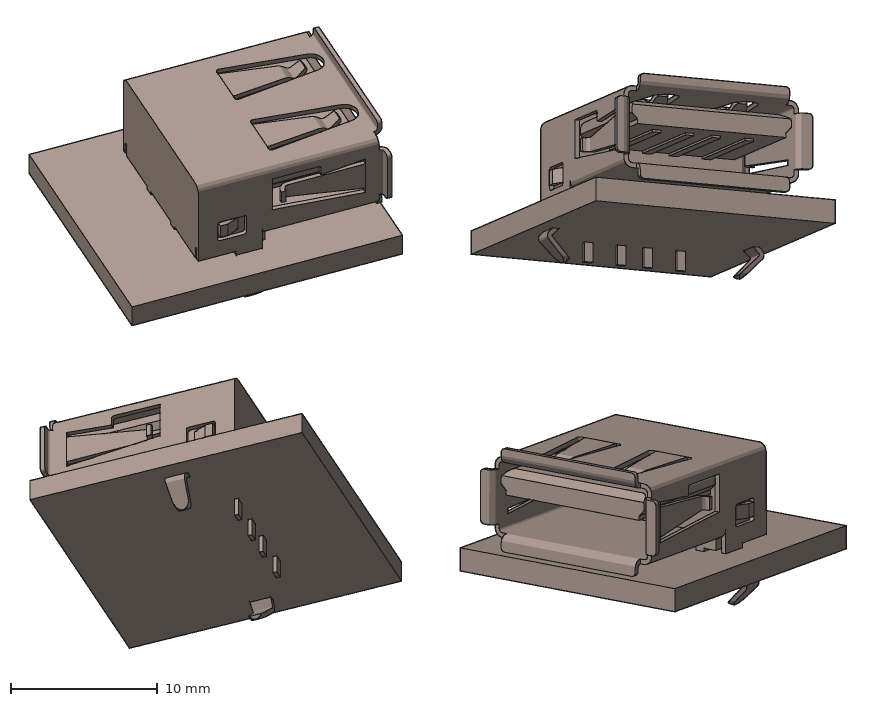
import cadquery as cq
import math

BOARD_WIDTH = 18.0
BOARD_DEPTH = 20.0
BOARD_THICKNESS = 1.65

SHEET = 0.35
SHELL_HALF_WIDTH = 6.55
SHELL_TOP = 6.75
MOUTH_FLOOR = 1.05
SHELL_RADIUS = 0.65
SHELL_FRONT = 9.32
SHELL_REAR = -4.05
FLOOR_REAR = 0.68
SIDE_WALL_BOTTOM = 0.32
REAR_WALL_BOTTOM = 0.25
MOUTH_CENTER = (SHELL_TOP + MOUTH_FLOOR) / 2
MOUTH_HALF_HEIGHT = (SHELL_TOP - MOUTH_FLOOR) / 2
INNER_HALF_WIDTH = SHELL_HALF_WIDTH - SHEET
INNER_TOP = SHELL_TOP - SHEET

LIP_HEIGHT = 0.8
LIP_INNER_RADIUS = 0.25
LIP_BEND = LIP_INNER_RADIUS + SHEET / 2
LIP_CORNER = 0.3
LIP_ROOT = 0.08
TOP_LIP_WIDTH = 11.25
SIDE_LIP_WIDTH = 3.88

SLIT_WIDTH = 0.18
SLIT_TOP = 1.12
FOOT_WIDTH = 0.68

TOP_SPRING_X = 2.98
TOP_WINDOW_REAR = 2.0
TOP_WINDOW_FRONT = 9.2
TOP_WINDOW_REAR_HALF = 1.8
TOP_WINDOW_FRONT_HALF = 0.92
TOP_WINDOW_SHOULDER = 8.5
TOP_SPRING_ROOT_HALF = 1.32
TOP_SPRING_TIP_HALF = 0.45
TOP_SPRING_TIP = 7.92
TOP_SPRING_TIP_CORNER = 0.32
TOP_SPRING_ROOT = TOP_WINDOW_REAR - SHEET

TOP_SPRING_CREST = (6.28, -0.15)
TOP_SPRING_VALLEY = (6.88, -0.6)
TOP_SPRING_END = (7.8, 0.08)
SPRING_ROOT_RADIUS = 0.4
TOP_SPRING_CREST_RADIUS = 0.95
TOP_SPRING_VALLEY_RADIUS = 0.52

SIDE_WINDOW_FRONT = 8.3
SIDE_WINDOW_REAR = 1.42
SIDE_WINDOW_FRONT_HALF = 1.45
SIDE_WINDOW_REAR_HALF = 0.8
SIDE_SPRING_ROOT_HALF = 1.05
SIDE_SPRING_TIP_HALF = 0.45
SIDE_SPRING_TIP = 2.12
SIDE_SPRING_ROOT = SIDE_WINDOW_FRONT + SHEET
SIDE_SPRING_DIP = 0.65
SIDE_SPRING_END_RISE = 0.08
SIDE_SPRING_TIP_RADIUS = 0.5
SIDE_NOTCH_FRONT = 5.0
SIDE_NOTCH_TOP = 5.8
WINDOW_CORNER = 0.2

LATCH_FRONT = -0.5
LATCH_REAR = -2.65
LATCH_BOTTOM = 1.62
LATCH_TOP = 3.22
WEDGE_FRONT = -0.98
WEDGE_CREST = -1.92
WEDGE_REAR = -2.48
WEDGE_BOTTOM = 1.95
WEDGE_TOP = 2.98
WEDGE_HALF_WIDTH = 6.65

HOUSING_FRONT = 1.1
HOUSING_BOTTOM = 0.25
OUTER_RIB_X = 4.7
OUTER_RIB_REAR = -1.8
INNER_RIB_X = 2.05
TONGUE_FRONT = 9.4
TONGUE_BEVEL_START = 8.6
TONGUE_BEVEL_DROP = 0.4
TONGUE_TOP = 5.85
TONGUE_BOTTOM = 4.15
TONGUE_HALF_WIDTH = 6.0
TONGUE_TOP_RADIUS = 0.68
TONGUE_SIDE_BOTTOM = 4.88
TONGUE_KEEL_TOP = 4.45
TONGUE_KEEL_HALF = 5.58

CONTACT_XS = (-3.48, -1.0, 1.0, 3.48)
CONTACT_WIDTH = 0.65
CONTACT_DROP = 0.15
CONTACT_FRONT = 8.0
PIN_Y = -3.05
PIN_THICKNESS = 0.28
PIN_BOTTOM = -3.0

LEG_Y = -0.3
LEG_ROOT_TOP = SIDE_WALL_BOTTOM + SHEET
LEG_ROOT_HALF = 0.98
LEG_END_HALF = 0.55
LEG_SHOULDER = -3.4
LEG_BOTTOM = -3.8
LEG_OUTER_BEND = (8.05, -2.15)
LEG_TIP_X = 6.5
LEG_ROOT_RADIUS = 1.78
LEG_BEND_RADIUS = 0.22

BLANK_SIZE = 20.0


def box(x0, x1, y0, y1, z0, z1):
    """Box given by its limits along each axis."""
    return cq.Workplane("XY").box(x1 - x0, y1 - y0, z1 - z0, centered=False).translate((x0, y0, z0))


def both_sides(body):
    """A body and its mirror image across the YZ plane."""
    return body.union(body.mirror("YZ"))


def bent_sheet(plane, points, radii, width):
    """Sheet of constant thickness whose middle line follows the points, with a radius at each bend."""
    vectors = [cq.Vector(*p) for p in points]
    path = cq.Workplane(plane).moveTo(*points[0])
    for before, corner, after, radius in zip(vectors, vectors[1:], vectors[2:], radii):
        back = (before - corner).normalized()
        ahead = (after - corner).normalized()
        half_angle = back.getAngle(ahead) / 2
        setback = radius / math.tan(half_angle)
        start = corner + back * setback
        end = corner + ahead * setback
        to_center = (back + ahead).normalized()
        middle = corner + to_center * (radius / math.sin(half_angle) - radius)
        path = path.lineTo(start.x, start.y)
        path = path.threePointArc((middle.x, middle.y), (end.x, end.y))
    path = path.lineTo(*points[-1])
    frame = path.plane
    first = frame.toWorldCoords(points[0])
    second = frame.toWorldCoords(points[1])
    section = cq.Plane(origin=first, xDir=frame.zDir, normal=second - first)
    return cq.Workplane(section).rect(width, SHEET).sweep(path)


def make_lip(wall_distance, width, turn):
    """Lip flaring out from one wall of the mouth; turn is its angle about the mouth's axis."""
    middle = wall_distance - SHEET / 2
    lip_y = SHELL_FRONT + LIP_BEND
    end = wall_distance + LIP_HEIGHT
    points = [(SHELL_FRONT - LIP_ROOT, middle), (lip_y, middle), (lip_y, end)]
    lip = bent_sheet("YZ", points, [LIP_BEND], width)
    lip = lip.faces(">Z").edges("|Y").fillet(LIP_CORNER)
    return lip.rotate((0, 0, 0), (0, 1, 0), turn).translate((0, 0, MOUTH_CENTER))


def make_shell_walls():
    """Mouth tube in front; behind it a hood with straight side walls and a closed rear."""
    height = 2 * MOUTH_HALF_HEIGHT
    length = SHELL_FRONT - SHELL_REAR
    front = cq.Workplane("XZ", origin=(0, SHELL_FRONT, MOUTH_CENTER))
    outer = front.rect(2 * SHELL_HALF_WIDTH, height).extrude(length).edges("|Y").fillet(SHELL_RADIUS)
    skirt = box(-SHELL_HALF_WIDTH, SHELL_HALF_WIDTH, SHELL_REAR, FLOOR_REAR, REAR_WALL_BOTTOM, MOUTH_CENTER)
    inner = front.rect(2 * INNER_HALF_WIDTH, height - 2 * SHEET).extrude(length - SHEET)
    inner = inner.edges("|Y").fillet(SHELL_RADIUS - SHEET)
    rear_room = box(
        -INNER_HALF_WIDTH, INNER_HALF_WIDTH, SHELL_REAR + SHEET, FLOOR_REAR, REAR_WALL_BOTTOM, MOUTH_CENTER
    )
    walls = outer.union(skirt).cut(inner).cut(rear_room)
    below_side_wall = box(
        INNER_HALF_WIDTH, SHELL_HALF_WIDTH, SHELL_REAR, FLOOR_REAR, REAR_WALL_BOTTOM, SIDE_WALL_BOTTOM
    )
    slit = box(
        INNER_HALF_WIDTH - SLIT_WIDTH, INNER_HALF_WIDTH,
        SHELL_REAR, SHELL_REAR + SHEET, REAR_WALL_BOTTOM, SLIT_TOP,
    )
    return walls.cut(both_sides(below_side_wall)).cut(both_sides(slit))


def make_top_window():
    """Tapered opening in the top wall, round at its front end."""
    outline = (
        cq.Workplane("XY", origin=(TOP_SPRING_X, 0, INNER_TOP))
        .moveTo(-TOP_WINDOW_REAR_HALF, TOP_WINDOW_REAR)
        .lineTo(TOP_WINDOW_REAR_HALF, TOP_WINDOW_REAR)
        .lineTo(TOP_WINDOW_FRONT_HALF, TOP_WINDOW_SHOULDER)
        .threePointArc((0, TOP_WINDOW_FRONT), (-TOP_WINDOW_FRONT_HALF, TOP_WINDOW_SHOULDER))
        .close()
    )
    return outline.extrude(SHEET).edges("|Z and <Y").fillet(WINDOW_CORNER)


def make_top_spring():
    """Tapered finger that dips into the mouth and turns up again at its tip."""
    level = SHELL_TOP - SHEET / 2
    points = [(TOP_SPRING_ROOT, level), (TOP_WINDOW_REAR, level)]
    for y, rise in (TOP_SPRING_CREST, TOP_SPRING_VALLEY, TOP_SPRING_END):
        points.append((y, level + rise))
    radii = [SPRING_ROOT_RADIUS, TOP_SPRING_CREST_RADIUS, TOP_SPRING_VALLEY_RADIUS]
    finger = bent_sheet("YZ", points, radii, BLANK_SIZE)
    planform = (
        cq.Workplane("XY")
        .moveTo(-TOP_SPRING_ROOT_HALF, TOP_SPRING_ROOT)
        .lineTo(TOP_SPRING_ROOT_HALF, TOP_SPRING_ROOT)
        .lineTo(TOP_SPRING_ROOT_HALF, TOP_WINDOW_REAR)
        .lineTo(TOP_SPRING_TIP_HALF, TOP_SPRING_TIP)
        .lineTo(-TOP_SPRING_TIP_HALF, TOP_SPRING_TIP)
        .lineTo(-TOP_SPRING_ROOT_HALF, TOP_WINDOW_REAR)
        .close()
        .extrude(BLANK_SIZE)
        .edges("|Z and >Y")
        .fillet(TOP_SPRING_TIP_CORNER)
    )
    return finger.intersect(planform).translate((TOP_SPRING_X, 0, 0))


def make_side_window():
    """Tapered opening in a side wall, with a notch above its rear half."""
    taper = (
        cq.Workplane("YZ", origin=(INNER_HALF_WIDTH, 0, MOUTH_CENTER))
        .polyline([
            (SIDE_WINDOW_FRONT, -SIDE_WINDOW_FRONT_HALF),
            (SIDE_WINDOW_FRONT, SIDE_WINDOW_FRONT_HALF),
            (SIDE_WINDOW_REAR, SIDE_WINDOW_REAR_HALF),
            (SIDE_WINDOW_REAR, -SIDE_WINDOW_REAR_HALF),
        ])
        .close()
        .extrude(SHEET)
    )
    notch = box(
        INNER_HALF_WIDTH, SHELL_HALF_WIDTH,
        SIDE_WINDOW_REAR, SIDE_NOTCH_FRONT, MOUTH_CENTER, SIDE_NOTCH_TOP,
    )
    notch = notch.edges("|X and >Y and >Z").fillet(WINDOW_CORNER)
    return taper.union(notch)


def make_side_spring():
    """Tapered finger rooted at the front of a side window, bent inward and out again at its tip."""
    level = SHELL_HALF_WIDTH - SHEET / 2
    tip_y = SIDE_SPRING_TIP + SHEET / 2
    points = [
        (level, SIDE_SPRING_ROOT),
        (level, SIDE_WINDOW_FRONT),
        (level - SIDE_SPRING_DIP, tip_y),
        (level + SIDE_SPRING_END_RISE, tip_y),
    ]
    finger = bent_sheet("XY", points, [SPRING_ROOT_RADIUS, SIDE_SPRING_TIP_RADIUS], BLANK_SIZE)
    planform = (
        cq.Workplane("YZ", origin=(0, 0, MOUTH_CENTER))
        .polyline([
            (SIDE_SPRING_ROOT, -SIDE_SPRING_ROOT_HALF),
            (SIDE_SPRING_ROOT, SIDE_SPRING_ROOT_HALF),
            (SIDE_WINDOW_FRONT, SIDE_SPRING_ROOT_HALF),
            (SIDE_SPRING_TIP, SIDE_SPRING_TIP_HALF),
            (SIDE_SPRING_TIP, -SIDE_SPRING_TIP_HALF),
            (SIDE_WINDOW_FRONT, -SIDE_SPRING_ROOT_HALF),
        ])
        .close()
        .extrude(BLANK_SIZE)
    )
    return finger.intersect(planform)


def make_leg():
    """Snap leg below a side wall: out at 45 degrees, back in at 45 degrees, with a rounded end."""
    middle = SHELL_HALF_WIDTH - SHEET / 2
    bend_x, bend_z = LEG_OUTER_BEND
    points = [
        (middle, LEG_ROOT_TOP),
        (middle, bend_z + bend_x - middle),
        LEG_OUTER_BEND,
        (LEG_TIP_X, bend_z - (bend_x - LEG_TIP_X)),
    ]
    strip = bent_sheet("XZ", points, [LEG_ROOT_RADIUS, LEG_BEND_RADIUS], BLANK_SIZE)
    planform = (
        cq.Workplane("YZ", origin=(0, LEG_Y, 0))
        .moveTo(-LEG_ROOT_HALF, LEG_ROOT_TOP)
        .lineTo(-LEG_ROOT_HALF, 0)
        .lineTo(-LEG_END_HALF, LEG_SHOULDER)
        .threePointArc((0, LEG_BOTTOM), (LEG_END_HALF, LEG_SHOULDER))
        .lineTo(LEG_ROOT_HALF, 0)
        .lineTo(LEG_ROOT_HALF, LEG_ROOT_TOP)
        .close()
        .extrude(BLANK_SIZE)
    )
    return strip.intersect(planform)


def make_shell():
    """Folded metal shell with its windows, lips, springs, legs and rear tabs."""
    latch_window = box(
        INNER_HALF_WIDTH, SHELL_HALF_WIDTH, LATCH_REAR, LATCH_FRONT, LATCH_BOTTOM, LATCH_TOP
    )
    latch_window = latch_window.edges("|X").fillet(WINDOW_CORNER)
    tab = box(
        INNER_RIB_X - FOOT_WIDTH / 2, INNER_RIB_X + FOOT_WIDTH / 2,
        SHELL_REAR, SHELL_REAR + SHEET, 0, REAR_WALL_BOTTOM,
    )
    shell = make_shell_walls()
    for opening in (make_top_window(), make_side_window(), latch_window):
        shell = shell.cut(both_sides(opening))
    for turn in (0, 180):
        shell = shell.union(make_lip(MOUTH_HALF_HEIGHT, TOP_LIP_WIDTH, turn))
    for turn in (90, 270):
        shell = shell.union(make_lip(SHELL_HALF_WIDTH, SIDE_LIP_WIDTH, turn))
    for piece in (make_top_spring(), make_side_spring(), make_leg(), tab):
        shell = shell.union(both_sides(piece))
    return shell


def make_tongue():
    """Plate in the mouth: rounded top edges, a narrower keel below and a beveled front."""
    start = HOUSING_FRONT - SHEET
    length = TONGUE_FRONT - start
    tongue = (
        cq.Workplane("XZ", origin=(0, TONGUE_FRONT, 0))
        .polyline([
            (-TONGUE_HALF_WIDTH, TONGUE_TOP),
            (TONGUE_HALF_WIDTH, TONGUE_TOP),
            (TONGUE_HALF_WIDTH, TONGUE_SIDE_BOTTOM),
            (TONGUE_KEEL_HALF, TONGUE_KEEL_TOP),
            (TONGUE_KEEL_HALF, TONGUE_BOTTOM),
            (-TONGUE_KEEL_HALF, TONGUE_BOTTOM),
            (-TONGUE_KEEL_HALF, TONGUE_KEEL_TOP),
            (-TONGUE_HALF_WIDTH, TONGUE_SIDE_BOTTOM),
        ])
        .close()
        .extrude(length)
        .edges("|Y and >Z")
        .fillet(TONGUE_TOP_RADIUS)
    )
    bevel = (
        cq.Workplane("YZ", origin=(-TONGUE_HALF_WIDTH, 0, 0))
        .polyline([
            (TONGUE_BEVEL_START, TONGUE_TOP),
            (TONGUE_FRONT, TONGUE_TOP - TONGUE_BEVEL_DROP),
            (TONGUE_FRONT, TONGUE_TOP),
        ])
        .close()
        .extrude(2 * TONGUE_HALF_WIDTH)
    )
    return tongue.cut(bevel)


def make_wedge():
    """Latch ramp that rises toward the rear through the side wall's latch window."""
    return (
        cq.Workplane("XY", origin=(0, 0, WEDGE_BOTTOM))
        .polyline([
            (INNER_HALF_WIDTH - SHEET, WEDGE_FRONT),
            (INNER_HALF_WIDTH, WEDGE_FRONT),
            (WEDGE_HALF_WIDTH, WEDGE_CREST),
            (WEDGE_HALF_WIDTH, WEDGE_REAR),
            (INNER_HALF_WIDTH - SHEET, WEDGE_REAR),
        ])
        .close()
        .extrude(WEDGE_TOP - WEDGE_BOTTOM)
    )


def make_housing():
    """Block that fills the rear of the shell, with its tongue, standing ribs and latch wedges."""
    rear = SHELL_REAR + SHEET
    lower_half = INNER_HALF_WIDTH - SLIT_WIDTH
    upper = box(-INNER_HALF_WIDTH, INNER_HALF_WIDTH, rear, HOUSING_FRONT, SLIT_TOP, INNER_TOP)
    upper = upper.edges("|Y and >Z").fillet(SHELL_RADIUS - SHEET)
    lower = box(-lower_half, lower_half, rear, HOUSING_FRONT, HOUSING_BOTTOM, MOUTH_CENTER)
    housing = upper.union(lower).union(make_tongue())
    for rib_x, rib_rear in ((INNER_RIB_X, rear), (OUTER_RIB_X, OUTER_RIB_REAR)):
        left = rib_x - FOOT_WIDTH / 2
        rib = box(left, left + FOOT_WIDTH, rib_rear, HOUSING_FRONT, 0, HOUSING_BOTTOM)
        housing = housing.union(both_sides(rib))
    return housing.union(both_sides(make_wedge()))


def make_contact(x):
    """Strip below the tongue and the solder pin that goes down through the board."""
    left = x - CONTACT_WIDTH / 2
    right = x + CONTACT_WIDTH / 2
    strip = box(left, right, FLOOR_REAR, CONTACT_FRONT, TONGUE_BOTTOM - CONTACT_DROP, TONGUE_BOTTOM)
    pin = box(
        left, right, PIN_Y - PIN_THICKNESS / 2, PIN_Y + PIN_THICKNESS / 2, PIN_BOTTOM, HOUSING_BOTTOM
    )
    return strip, pin


def make_connector():
    """Shell, housing and contacts as one solid."""
    connector = make_shell().union(make_housing())
    for x in CONTACT_XS:
        for piece in make_contact(x):
            connector = connector.union(piece)
    return connector


def make_board(connector):
    """Plate with openings that match the pins and legs passing through it."""
    half_width = BOARD_WIDTH / 2
    half_depth = BOARD_DEPTH / 2
    board = box(-half_width, half_width, -half_depth, half_depth, -BOARD_THICKNESS, 0)
    return board.cut(connector)


connector = make_connector()
board = make_board(connector)

result = cq.Compound.makeCompound([board.solids().val(), connector.solids().val()])